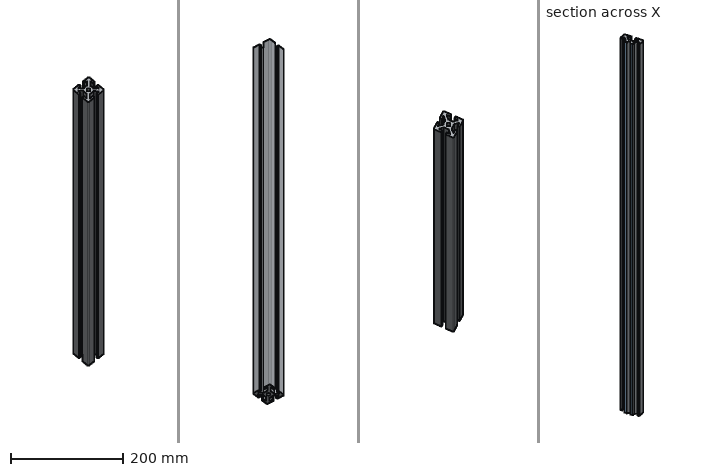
import cadquery as cq
import math

side = 40.0
length = 800.0
corner_radius = 2.0
bore_diameter = 7.0

opening_width = 8.0
mouth_chamfer = 1.0
lip_thickness = 4.4
cavity_width = 22.0
core_width = 18.0
web_thickness = 6.0

half_side = side / 2
half_opening = opening_width / 2
floor_y = core_width / 2
half_cavity = cavity_width / 2
lip_y = half_side - lip_thickness

web_offset = web_thickness / 2 * math.sqrt(2)
half_floor = floor_y - web_offset
shoulder_y = half_cavity + web_offset


def slot_cutter():
    """T-slot in the +Y side, running the full length."""
    right_edge = [
        (half_floor, floor_y),
        (half_cavity, shoulder_y),
        (half_cavity, lip_y),
        (half_opening, lip_y),
        (half_opening, half_side - mouth_chamfer),
        (half_opening + mouth_chamfer, half_side),
    ]
    left_edge = [(-x, y) for x, y in reversed(right_edge)]
    return cq.Workplane("XY").polyline(right_edge + left_edge).close().extrude(length)


result = cq.Workplane("XY").rect(side, side).extrude(length)
result = result.edges("|Z").fillet(corner_radius)

for angle in (0, 90, 180, 270):
    result = result.cut(slot_cutter().rotate((0, 0, 0), (0, 0, 1), angle))

bore = cq.Workplane("XY").circle(bore_diameter / 2).extrude(length)
result = result.cut(bore)